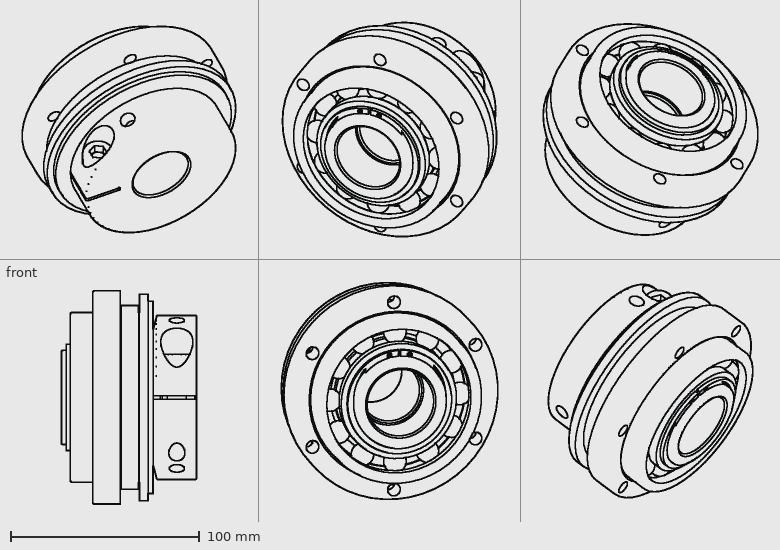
import cadquery as cq
import math


retainer_front = 2.6
housing_front = 4.7
race_plate_front = 19.2
flange_front = 16.6
flange_back = 31.3
body_front = 31.6
body_back = 40.9
disc_front = 41.4
disc_back = 46.0
pressure_ring_back = 48.6
collar_front = 50.3
bore_step = 25.9
overall_length = 71.6

bore_radius = 32.0 / 2
hub_bore_radius = 36.0 / 2
hub_radius = 50.0 / 2
retainer_radius = 56.3 / 2
inner_race_radius = 62.5 / 2
plate_opening_radius = 34.8
outer_race_radius = 78.1 / 2
housing_radius = 90.0 / 2
flange_radius = 113 / 2
body_radius = 97.4 / 2
disc_radius = 109.4 / 2
pressure_ring_radius = 101.9 / 2
collar_neck_radius = 36.0
collar_radius = 87 / 2

edge_break = 1.0
flange_back_break = 0.5

ball_count = 12
ball_radius = 6.0
ball_circle_radius = (inner_race_radius + outer_race_radius) / 2
ball_center_x = 14.6
race_groove_radius = 5.9

retainer_gap = 1.2
retainer_relief_offset = 2.1
retainer_lug_half_width = 18.4
plier_hole_diameter = 2.5
plier_hole_spacing = 11.0
plier_hole_height = 25.5

flange_hole_count = 6
flange_hole_diameter = 6.8
flange_hole_circle_radius = 51.0

slit_width = 1.7
sleeve_shoulder = 52.4
clamp_x = 61.1
setting_hole_diameter = 8.0
setting_hole_depth = 8.0
setting_hole_angles = (0, 110, 240)
drill_half_angle = math.radians(59)

screw_y = -32.0
head_diameter = 16.0
head_height = 10.0
head_top = 22.8
hex_across_flats = 8.0
hex_depth = 5.0
shank_diameter = 10.0
shank_length = 30.0
counterbore_diameter = 17
clearance_diameter = 10.5
thread_core_diameter = 8.5


def tube(x_start, x_end, outer_radius, inner_radius=0):
    """Round bar or tube along X."""
    ring = cq.Workplane("YZ", origin=(x_start, 0, 0)).circle(outer_radius)
    if inner_radius:
        ring = ring.circle(inner_radius)
    return ring.extrude(x_end - x_start)


def revolved(points):
    """Revolve a closed (x, radius) outline about the X axis."""
    return cq.Workplane("XY").polyline(points).close().revolve(360, (0, 0, 0), (1, 0, 0))


def upright(diameter, z_bottom, z_top):
    """Cylinder on the clamping screw axis."""
    return (
        cq.Workplane("XY", origin=(clamp_x, screw_y, z_bottom))
        .circle(diameter / 2)
        .extrude(z_top - z_bottom)
    )


def drill_point(diameter):
    """Height of the cone left by a drill."""
    return diameter / 2 / math.tan(drill_half_angle)


def turned_body():
    """Hub, housing, flange, discs and collar, without the bearing recess and bore."""
    hub = tube(0, overall_length, hub_radius).faces("<X").edges().fillet(edge_break)
    housing = tube(housing_front, pressure_ring_back, housing_radius)
    housing = housing.faces("<X").edges().fillet(edge_break)
    flange = tube(flange_front, flange_back, flange_radius)
    flange = flange.faces("<X").edges().fillet(edge_break)
    flange = flange.faces(">X").edges().fillet(flange_back_break)
    flange = flange.cut(
        revolved([
            (flange_front, housing_radius),
            (flange_front, housing_radius + edge_break),
            (flange_front + edge_break, housing_radius),
        ])
    )
    body = tube(body_front, body_back, body_radius)
    disc = tube(disc_front, disc_back, disc_radius)
    pressure_ring = tube(disc_back, pressure_ring_back, pressure_ring_radius)
    collar = tube(collar_front, overall_length, collar_radius).edges().fillet(edge_break)
    neck = revolved([
        (pressure_ring_back, 0),
        (pressure_ring_back, collar_neck_radius),
        (collar_front, collar_radius - edge_break),
        (collar_front, 0),
    ])
    solid = hub
    for piece in (housing, body, disc, pressure_ring, neck, collar):
        solid = solid.union(piece)
    return solid.union(flange.cut(tube(flange_front, flange_front + edge_break, housing_radius)))


def bearing_recess():
    """Grooved space between the races, closed by a plate with a conical opening."""
    cone_depth = plate_opening_radius - inner_race_radius
    gap = revolved([
        (housing_front, inner_race_radius),
        (housing_front, outer_race_radius),
        (race_plate_front, outer_race_radius),
        (race_plate_front, plate_opening_radius),
        (race_plate_front + cone_depth, inner_race_radius),
    ])
    groove = (
        cq.Workplane("XY", origin=(ball_center_x, 0, 0))
        .center(0, ball_circle_radius)
        .circle(race_groove_radius)
        .revolve(360, (0, -ball_circle_radius, 0), (1, -ball_circle_radius, 0))
    )
    inner_race_bevel = revolved([
        (housing_front, hub_radius),
        (housing_front, hub_radius + edge_break),
        (housing_front + edge_break, hub_radius),
    ])
    return gap.union(groove).union(inner_race_bevel)


def bearing_balls():
    centers = cq.Workplane("YZ", origin=(ball_center_x, 0, 0)).polarArray(
        ball_circle_radius, 0, 360, ball_count
    )
    ball = cq.Workplane("XY").sphere(ball_radius).val()
    return centers.eachpoint(ball, useLocalCoordinates=True)


def retaining_ring():
    """Snap ring with an off-centre inner edge, and a gap and two plier holes in its top lugs."""
    width = housing_front - retainer_front
    relief = tube(retainer_front, housing_front, hub_radius).translate((0, 0, retainer_relief_offset))
    lugs = cq.Workplane("XY", origin=(retainer_front, 0, 0)).box(
        width, 2 * retainer_lug_half_width, retainer_radius, centered=(False, True, False)
    )
    gap = cq.Workplane("XY", origin=(retainer_front, 0, 0)).box(
        width, retainer_gap, retainer_radius, centered=(False, True, False)
    )
    plier_holes = (
        cq.Workplane("YZ", origin=(retainer_front, 0, plier_hole_height))
        .pushPoints([(-plier_hole_spacing / 2, 0), (plier_hole_spacing / 2, 0)])
        .circle(plier_hole_diameter / 2)
        .extrude(width)
    )
    ring = tube(retainer_front, housing_front, retainer_radius, hub_radius)
    return ring.cut(relief.cut(lugs)).cut(gap).cut(plier_holes)


def stepped_bore():
    """Through bore, wider at the hub end, with broken edges."""
    return revolved([
        (0, 0),
        (0, hub_bore_radius + edge_break),
        (edge_break, hub_bore_radius),
        (bore_step, hub_bore_radius),
        (bore_step, bore_radius + edge_break),
        (bore_step + edge_break, bore_radius),
        (overall_length - edge_break, bore_radius),
        (overall_length, bore_radius + edge_break),
        (overall_length, 0),
    ])


def flange_holes():
    return (
        cq.Workplane("YZ", origin=(flange_front, 0, 0))
        .polarArray(flange_hole_circle_radius, 90, 360, flange_hole_count)
        .circle(flange_hole_diameter / 2)
        .extrude(flange_back - flange_front)
    )


def setting_holes():
    """Blind radial drillings around the collar."""
    radius = setting_hole_diameter / 2
    floor = collar_radius - setting_hole_depth
    profile = [
        (0, floor - drill_point(setting_hole_diameter)),
        (radius, floor),
        (radius, collar_radius + radius),
        (0, collar_radius + radius),
    ]
    drill = cq.Workplane("XY").polyline(profile).close().revolve(360, (0, 0, 0), (0, 1, 0))
    drill = drill.translate((clamp_x, 0, 0))
    holes = cq.Workplane("XY")
    for angle in setting_hole_angles:
        holes = holes.add(drill.rotate((0, 0, 0), (1, 0, 0), angle))
    return holes.combine()


def hub_sleeve():
    """Unslit wall inside the collar, with a bevelled shoulder and a bevelled end."""
    small_radius = hub_radius - edge_break
    return revolved([
        (pressure_ring_back, 0),
        (pressure_ring_back, small_radius),
        (sleeve_shoulder, small_radius),
        (sleeve_shoulder + edge_break, hub_radius),
        (overall_length - edge_break, hub_radius),
        (overall_length, small_radius),
        (overall_length, 0),
    ])


def clamp_cuts():
    """Slit on the -Y side and the stepped hole of the clamping screw."""
    slit = cq.Workplane("XY").box(
        overall_length - pressure_ring_back,
        collar_radius - hub_bore_radius,
        slit_width,
        centered=(False, False, True),
    )
    slit = slit.translate((pressure_ring_back, -collar_radius, 0)).cut(hub_sleeve())
    seat = head_top - head_height
    hole = upright(thread_core_diameter, -collar_radius, 0)
    hole = hole.union(upright(clearance_diameter, 0, seat))
    hole = hole.union(upright(counterbore_diameter, seat, collar_radius))
    return slit.union(hole)


def clamp_screw():
    """Socket head screw with a hexagonal socket ending in a drill point."""
    seat = head_top - head_height
    head = upright(head_diameter, seat, head_top).faces(">Z").edges().fillet(edge_break)
    shank = upright(shank_diameter, seat - shank_length, seat)
    hex_across_corners = hex_across_flats / math.cos(math.pi / 6)
    socket_floor = head_top - hex_depth
    socket = (
        cq.Workplane("XY", origin=(clamp_x, screw_y, socket_floor))
        .polygon(6, hex_across_corners)
        .extrude(hex_depth)
    )
    tip = cq.Solid.makeCone(
        hex_across_flats / 2,
        0,
        drill_point(hex_across_flats),
        cq.Vector(clamp_x, screw_y, socket_floor),
        cq.Vector(0, 0, -1),
    )
    return head.union(shank).cut(socket).cut(cq.Workplane(tip))


result = (
    turned_body()
    .cut(bearing_recess())
    .union(bearing_balls())
    .union(retaining_ring())
    .cut(stepped_bore())
    .cut(flange_holes())
    .cut(setting_holes())
    .cut(clamp_cuts())
    .union(clamp_screw())
)